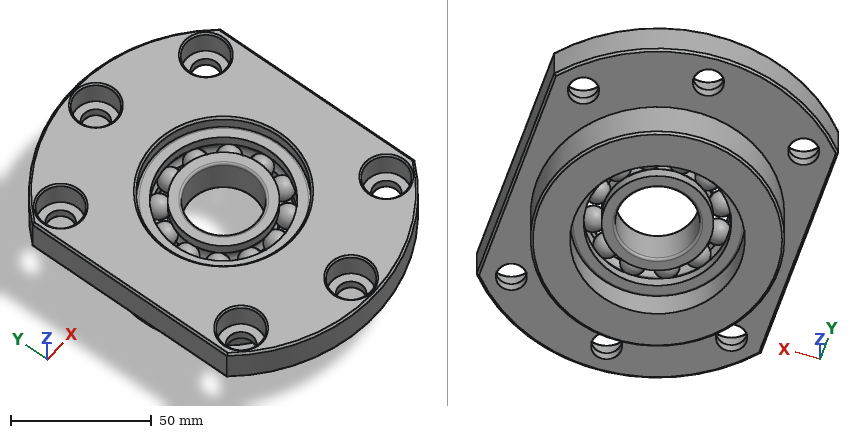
import cadquery as cq
import math

flange_diameter = 138.0
flange_width = 106.0
flange_thickness = 15.0
total_height = 32.0
spigot_diameter = 90.0
edge_chamfer = 0.8
flange_bottom = total_height - flange_thickness

bolt_circle_diameter = 116.0
screw_spacing_angle = 45.0
screw_group_angles = (90.0, 270.0)
screw_angles = [group + step * screw_spacing_angle for group in screw_group_angles for step in (-1, 0, 1)]
screw_hole_diameter = 11.0
counterbore_diameter = 17.8
counterbore_depth = 11.0
counterbore_chamfer = 0.7

bearing_outer_diameter = 62.0
bearing_bore_diameter = 30.0
bearing_width = 16.0
bearing_recess = 5.0
bearing_bottom = total_height - bearing_recess - bearing_width
outer_ring_inner_diameter = 52.3
inner_ring_outer_diameter = 39.6
ring_edge_radius = 1.0

ball_count = 12
ball_diameter = 9.5
groove_diameter = 9.2
first_ball_angle = 3.8
ball_center_height = bearing_bottom + bearing_width / 2
ball_pitch_radius = (outer_ring_inner_diameter + inner_ring_outer_diameter) / 4


def polar_point(radius, angle):
    """Point in the XY plane at an angle in degrees from +X."""
    return (radius * math.cos(math.radians(angle)), radius * math.sin(math.radians(angle)))


def make_flange():
    """Disc with two parallel flats facing -X and +X, chamfered on both faces."""
    disc = cq.Workplane("XY").circle(flange_diameter / 2).extrude(flange_thickness)
    between_flats = cq.Workplane("XY").rect(flange_width, flange_diameter).extrude(flange_thickness)
    flange = disc.intersect(between_flats).faces("<Z or >Z").chamfer(edge_chamfer)
    return flange.translate((0, 0, flange_bottom))


def make_spigot():
    """Round spigot below the flange, chamfered at its free end."""
    spigot = cq.Workplane("XY").circle(spigot_diameter / 2).extrude(flange_bottom)
    return spigot.faces("<Z").chamfer(edge_chamfer)


def make_chamfered_bore(diameter, depth, chamfer):
    """Cutter that goes down from the flange's top face, widened by a chamfer at the top."""
    straight = cq.Workplane("XY").workplane(offset=total_height - depth).circle(diameter / 2).extrude(depth)
    cone = cq.Solid.makeCone(
        diameter / 2, diameter / 2 + chamfer, chamfer, pnt=cq.Vector(0, 0, total_height - chamfer)
    )
    return straight.union(cq.Workplane(cone))


def make_screw_hole():
    """Cutter for one counterbored screw hole on the Z axis."""
    through_hole = cq.Workplane("XY").circle(screw_hole_diameter / 2).extrude(total_height)
    return through_hole.union(
        make_chamfered_bore(counterbore_diameter, counterbore_depth, counterbore_chamfer)
    )


def make_housing():
    """Flange and spigot with the through bore for the bearing and six screw holes."""
    housing = make_flange().union(make_spigot())
    housing = housing.cut(make_chamfered_bore(bearing_outer_diameter, total_height, edge_chamfer))
    screw_hole = make_screw_hole()
    for angle in screw_angles:
        x, y = polar_point(bolt_circle_diameter / 2, angle)
        housing = housing.cut(screw_hole.translate((x, y, 0)))
    return housing


def make_ring(outer_diameter, inner_diameter):
    """Plain bearing ring."""
    base = cq.Workplane("XY").workplane(offset=bearing_bottom)
    return base.circle(outer_diameter / 2).circle(inner_diameter / 2).extrude(bearing_width)


def make_ball_groove():
    """Torus-shaped cutter for the ball race of both rings."""
    return cq.Workplane(cq.Solid.makeTorus(
        ball_pitch_radius, groove_diameter / 2, cq.Vector(0, 0, ball_center_height), cq.Vector(0, 0, 1)
    ))


def make_bearing():
    """Bearing as one solid: the balls are slightly larger than the groove, so they join both rings."""
    outer_ring = make_ring(bearing_outer_diameter, outer_ring_inner_diameter)
    largest_circles = cq.selectors.RadiusNthSelector(-1)
    outer_ring = outer_ring.edges("%CIRCLE").edges(largest_circles).fillet(ring_edge_radius)
    inner_ring = make_ring(inner_ring_outer_diameter, bearing_bore_diameter)
    smallest_circles = cq.selectors.RadiusNthSelector(0)
    inner_ring = inner_ring.edges("%CIRCLE").edges(smallest_circles).fillet(ring_edge_radius)
    bearing = outer_ring.union(inner_ring).cut(make_ball_groove())
    for index in range(ball_count):
        x, y = polar_point(ball_pitch_radius, first_ball_angle + index * 360 / ball_count)
        ball = cq.Workplane("XY").sphere(ball_diameter / 2).translate((x, y, ball_center_height))
        bearing = bearing.union(ball)
    return bearing


housing = make_housing()
bearing = make_bearing()
result = cq.Compound.makeCompound([housing.solids().val(), bearing.solids().val()])